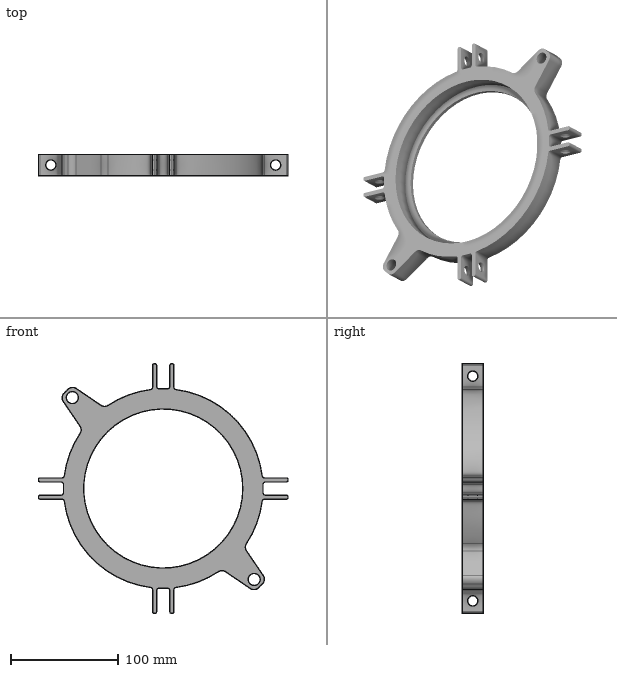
import cadquery as cq
import math

span = 232.9
thickness = 20.0

ring_radius = 93.1
lip_bore_radius = 74.0
main_bore_radius = 80.0
lip_thickness = 4.0

tab_thickness = 4.0
tab_gap = 12.0
tab_hole_diameter = 9.3
tab_hole_from_center = 104.8
tab_tip_fillet = 1.6
tab_root_fillet = 2.0
clevis_angles = (0, 90, 180, 270)

ear_hole_diameter = 11.0
ear_hole_from_center = 120.0
ear_tip_from_center = 128.3
ear_tip_half_width = 7.7
ear_taper_angle = 10.8
ear_tip_fillet = 6.0
ear_root_fillet = 6.0
ear_angles = (135, 315)

half_span = span / 2
half_thickness = thickness / 2
clevis_width = tab_gap + 2 * tab_thickness
tab_offset = (tab_gap + tab_thickness) / 2
embed_radius = (ring_radius + main_bore_radius) / 2
root_tolerance = 1.2


def extrude_evenly(outline):
    """Extrude an XZ outline by half the thickness to each side of the middle plane."""
    return outline.extrude(half_thickness, both=True)


def turn(body, angle):
    """Turn a body about the ring axis, from +X toward +Z."""
    return body.rotate((0, 0, 0), (0, 1, 0), -angle)


def bar(end_radius, width, offset=0.0):
    """Rectangular bar along +X, from inside the ring wall out to end_radius."""
    length = end_radius - embed_radius
    return extrude_evenly(cq.Workplane("XZ").center(embed_radius + length / 2, offset).rect(length, width))


def clevis():
    """Two round-tipped tabs pointing along +X, with a flat floor between them."""
    body = bar(ring_radius, clevis_width)
    for offset in (-tab_offset, tab_offset):
        tab = bar(half_span, tab_thickness, offset).edges("|Y and >X").fillet(tab_tip_fillet)
        body = body.union(tab)
    return body


def clevis_hole():
    """Cutter along Z through both tabs of the +X clevis."""
    cutter = cq.Workplane("XY").center(tab_hole_from_center, 0).circle(tab_hole_diameter / 2)
    return cutter.extrude(clevis_width, both=True)


def ear():
    """Tapered ear with rounded tip corners, pointing along +X."""
    taper_length = ear_tip_from_center - embed_radius
    root_half_width = ear_tip_half_width + taper_length * math.tan(math.radians(ear_taper_angle))
    outline = (
        cq.Workplane("XZ")
        .moveTo(embed_radius, -root_half_width)
        .lineTo(ear_tip_from_center, -ear_tip_half_width)
        .lineTo(ear_tip_from_center, ear_tip_half_width)
        .lineTo(embed_radius, root_half_width)
        .close()
    )
    return extrude_evenly(outline).edges("|Y and >X").fillet(ear_tip_fillet)


def ear_hole():
    """Cutter along Y through the +X ear."""
    return extrude_evenly(cq.Workplane("XZ").center(ear_hole_from_center, 0).circle(ear_hole_diameter / 2))


def is_root_edge(edge):
    """True for an edge where a tab or an ear meets the ring."""
    center = edge.Center()
    radius = math.hypot(center.x, center.z)
    return abs(radius - ring_radius) < root_tolerance


def is_clevis_edge(edge):
    """True for an edge close enough to the X or Z axis to belong to a clevis."""
    center = edge.Center()
    return min(abs(center.x), abs(center.z)) < clevis_width


result = extrude_evenly(cq.Workplane("XZ").circle(ring_radius))
for angle in clevis_angles:
    result = result.union(turn(clevis(), angle))
for angle in ear_angles:
    result = result.union(turn(ear(), angle))

result = (
    result.edges("|Y")
    .filter(lambda edge: is_root_edge(edge) and is_clevis_edge(edge))
    .fillet(tab_root_fillet)
)
result = (
    result.edges("|Y")
    .filter(lambda edge: is_root_edge(edge) and not is_clevis_edge(edge))
    .fillet(ear_root_fillet)
)

lip_bore = extrude_evenly(cq.Workplane("XZ").circle(lip_bore_radius))
main_bore = (
    cq.Workplane("XZ", origin=(0, lip_thickness - half_thickness, 0))
    .circle(main_bore_radius)
    .extrude(lip_thickness - thickness)
)
result = result.cut(lip_bore).cut(main_bore)

for angle in clevis_angles:
    result = result.cut(turn(clevis_hole(), angle))
for angle in ear_angles:
    result = result.cut(turn(ear_hole(), angle))